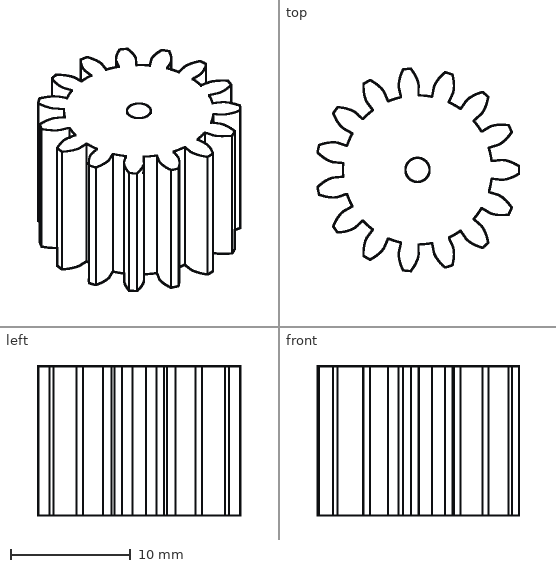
import cadquery as cq
import math

tooth_count = 15
pressure_angle = math.radians(20)
face_width = 12.5
bore_diameter = 2.0
overall_span = 16.96

addendum_ratio = 1.0
dedendum_ratio = 1.25
flank_samples = 8

tooth_pitch = 2 * math.pi / tooth_count


def involute_angle(angle):
    """Polar angle swept by an involute at the given pressure angle."""
    return math.tan(angle) - angle


base_ratio = math.cos(pressure_angle) * tooth_count / (tooth_count + 2 * addendum_ratio)
tip_pressure_angle = math.acos(base_ratio)
base_half_angle = tooth_pitch / 4 + involute_angle(pressure_angle)
tip_half_angle = base_half_angle - involute_angle(tip_pressure_angle)

corner_offset = tooth_pitch / 4 - tip_half_angle
tip_radius = overall_span / (2 * math.cos(corner_offset))
module = 2 * tip_radius / (tooth_count + 2 * addendum_ratio)
base_radius = tip_radius * base_ratio
root_radius = tip_radius - (addendum_ratio + dedendum_ratio) * module


def polar(radius, angle):
    return (radius * math.cos(angle), radius * math.sin(angle))


def flank_points(center, side):
    """Involute from the base circle to the tip; side is -1 or +1."""
    points = []
    for i in range(flank_samples + 1):
        roll = math.tan(tip_pressure_angle) * i / flank_samples
        radius = base_radius * math.hypot(1, roll)
        half_angle = base_half_angle - involute_angle(math.atan(roll))
        points.append(polar(radius, center + side * half_angle))
    return points


def add_tooth(outline, center):
    """Draw one tooth counterclockwise, then the root arc to the next tooth."""
    rising = flank_points(center, -1)
    falling = flank_points(center, 1)[::-1]
    next_root = center + tooth_pitch - base_half_angle
    return (
        outline.lineTo(*rising[0])
        .spline(rising[1:], includeCurrent=True)
        .threePointArc(polar(tip_radius, center), falling[0])
        .spline(falling[1:], includeCurrent=True)
        .lineTo(*polar(root_radius, center + base_half_angle))
        .threePointArc(polar(root_radius, center + tooth_pitch / 2), polar(root_radius, next_root))
    )


outline = cq.Workplane("XY").moveTo(*polar(root_radius, -base_half_angle))
for tooth in range(tooth_count):
    outline = add_tooth(outline, tooth * tooth_pitch)
gear = outline.close().extrude(face_width)

result = gear.faces(">Z").workplane(origin=(0, 0, face_width)).hole(bore_diameter)